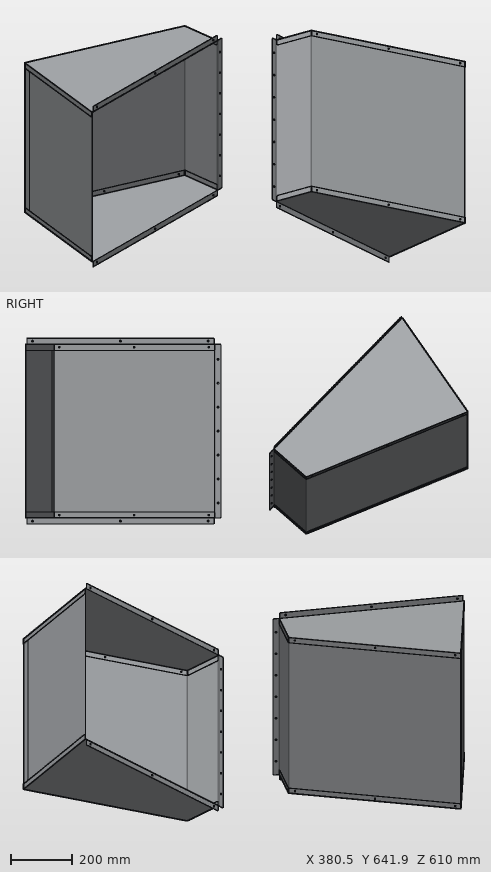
import cadquery as cq
import math

sheet = 1.2
bend_inside = 0.5
bend_outside = bend_inside + sheet
lip = 20.0
corner_cut = 3.0

height = 570.0
back_depth = 145.5
front_depth = 381.28
front_corner_y = -528.5
end_y = -622.81

tray_top = height / 2
inner_top = tray_top - sheet
flap_end = tray_top - lip
wall_top = inner_top - bend_inside
flap_setback = 3.5
panel_setback = sheet
corner_relief = 2.0

slope_angle = math.atan2(front_depth - back_depth, -front_corner_y)
front_angle = math.atan2(front_corner_y - end_y, front_depth)
slope_lean = math.tan(slope_angle)
front_lean = math.tan(front_angle)

front_flap_width = 29.5

tray_flange_start = -2.5
tray_flange_end = -617.0

flange_hole_diameter = 5.0
rivet_hole_diameter = 4.0
tray_flange_hole_ys = (-22.5, -310.5, -598.5)
slope_hole_ys = (-20.0, -265.0, -510.0)
side_flange_hole_count = 7
side_flange_hole_pitch = 78.5


def slope_point(y, depth):
    """Point of the sloping wall at a given Y, at a depth below the tray outline."""
    return (-back_depth + y * slope_lean + depth / math.cos(slope_angle), y)


def front_point(x, depth):
    """Point of the front wall at a given X, at a depth below the tray outline."""
    return (x, end_y - x * front_lean + depth / math.cos(front_angle))


def corner_point(slope_depth, front_depth_in):
    """Point where the sloping and front walls meet, each at its own depth."""
    y_at_mount = front_point(0, front_depth_in)[1]
    x = slope_point(y_at_mount, slope_depth)[0] / (1 + front_lean * slope_lean)
    return front_point(x, front_depth_in)


def outline(depth):
    """Housing outline with its three walls moved inwards by a depth."""
    return [
        (0, -depth),
        slope_point(-depth, depth),
        corner_point(depth, depth),
        front_point(0, depth),
    ]


def along_front(point, distance):
    """Point moved along the front wall, towards the mounting plane."""
    return (
        point[0] + distance * math.cos(front_angle),
        point[1] - distance * math.sin(front_angle),
    )


def prism(points, low, high):
    return cq.Workplane("XY").workplane(offset=low).polyline(points).close().extrude(high - low)


def fillet_upright_edge(body, point, radius):
    """Round the edge parallel to Z that passes through a plan point."""
    edge = body.edges("|Z").edges(cq.selectors.NearestToPointSelector((*point, 0)))
    return edge.fillet(radius)


def round_bend(body, inner_point, outer_point):
    body = fillet_upright_edge(body, inner_point, bend_inside)
    return fillet_upright_edge(body, outer_point, bend_outside)


def flange_holes(points):
    """Hole cutters through a mounting flange, at (Y, Z) points."""
    return cq.Workplane("YZ").pushPoints(points).circle(flange_hole_diameter / 2).extrude(-sheet)


def cut_slope_holes(body):
    """Rivet holes square to the sloping wall, in a row along each tray flap."""
    inwards = cq.Vector(math.cos(slope_angle), -math.sin(slope_angle), 0)
    hole_depth = 3 * sheet
    for y in slope_hole_ys:
        for z in (tray_top - lip / 2, lip / 2 - tray_top):
            start = cq.Vector(*slope_point(y, 0), z) - inwards * sheet
            hole = cq.Solid.makeCylinder(rivet_hole_diameter / 2, hole_depth + sheet, start, inwards)
            body = body.cut(cq.Workplane(hole))
    return body


def make_tray_shell():
    """Plate with three flaps folded down from its sloping, front and back edges."""
    outside = prism(outline(0), flap_end, tray_top)
    outside = outside.faces(">Z").edges("not(>X)").fillet(bend_outside)
    inside = prism(outline(sheet), flap_end, inner_top)
    inside = inside.faces(">Z").edges("not(>X)").fillet(bend_inside)
    shell = outside.cut(inside)

    flap_corners = outline(0)[1:3]
    reliefs = cq.Workplane("XY").workplane(offset=flap_end).pushPoints(flap_corners)
    return shell.cut(reliefs.circle(corner_relief).extrude(lip))


def flap_end_gap():
    """Space beside the mounting plane, up to the chamfered ends of the tray flaps."""
    gap = (
        cq.Workplane("XZ")
        .polyline([
            (0, tray_top),
            (-flap_setback, tray_top),
            (-flap_setback, flap_end + corner_cut),
            (-flap_setback - corner_cut, flap_end),
            (0, flap_end),
        ])
        .close().extrude(-2 * end_y, both=True)
    )
    return gap.cut(prism(outline(bend_outside), flap_end, tray_top))


def make_tray():
    tray = make_tray_shell().cut(flap_end_gap())

    flange_length = tray_flange_start - tray_flange_end
    flange_height = tray_top + lip - inner_top
    flange = (
        cq.Workplane("XY").box(sheet, flange_length, flange_height, centered=False)
        .translate((-sheet, tray_flange_end, inner_top))
        .edges("|X and >Z").edges(">Y").chamfer(corner_cut)
    )
    hole_z = tray_top + lip / 2
    holes = flange_holes([(y, hole_z) for y in tray_flange_hole_ys])
    return cut_slope_holes(tray.union(flange).cut(holes))


def make_wrap_walls():
    """Foot of the side flange, back wall, sloping wall and front flap, folded from one strip."""
    flange_bend = [(-sheet, -sheet), (0, -2 * sheet)]
    back_bend = [slope_point(-2 * sheet, 2 * sheet), slope_point(-sheet, sheet)]
    front_bend = [corner_point(2 * sheet, sheet), corner_point(sheet, 0)]
    flap_tip = along_front(front_bend[1], front_flap_width)
    strip = [
        (0, 0),
        (-sheet, 0),
        flange_bend[0],
        back_bend[1],
        front_bend[1],
        flap_tip,
        front_point(flap_tip[0], sheet),
        front_bend[0],
        back_bend[0],
        flange_bend[1],
    ]
    walls = prism(strip, -wall_top, wall_top)
    for inner_point, outer_point in (flange_bend, back_bend, front_bend):
        walls = round_bend(walls, inner_point, outer_point)
    return walls


def make_side_flange():
    flange = (
        cq.Workplane("XY").box(sheet, lip, height, centered=(False, False, True))
        .translate((-sheet, 0, 0))
        .edges("|X and >Y").chamfer(corner_cut)
    )
    middle = (side_flange_hole_count - 1) / 2
    hole_zs = [(i - middle) * side_flange_hole_pitch for i in range(side_flange_hole_count)]
    return flange.cut(flange_holes([(lip / 2, z) for z in hole_zs]))


def front_flap_trim():
    """Space above the front flap, kept free for the front flap of the tray."""
    outer_x = -front_depth
    bend_depth = sheet + bend_inside
    tip_x = along_front(corner_point(sheet, 0), front_flap_width)[0]
    in_front = prism(
        [
            (outer_x, 2 * end_y),
            front_point(outer_x, bend_depth),
            front_point(0, bend_depth),
            (0, 2 * end_y),
        ],
        flap_end - corner_cut, tray_top,
    )
    above_flap = (
        cq.Workplane("XZ")
        .polyline([
            (outer_x, tray_top),
            (outer_x, flap_end),
            (tip_x - corner_cut, flap_end),
            (tip_x, flap_end - corner_cut),
            (0, flap_end - corner_cut),
            (0, tray_top),
        ])
        .close().extrude(-2 * end_y)
    )
    return in_front.intersect(above_flap)


def make_wrap():
    trim = front_flap_trim()
    wrap = make_wrap_walls().cut(trim).cut(trim.mirror("XY"))
    return cut_slope_holes(wrap.union(make_side_flange()))


def make_front_panel():
    """Flat panel under the flaps, from the bend of the wrap to just short of the mounting plane."""
    corner_x = corner_point(2 * sheet, sheet)[0] + bend_outside
    panel = [
        front_point(corner_x, sheet),
        front_point(-panel_setback, sheet),
        front_point(-panel_setback, 2 * sheet),
        front_point(corner_x, 2 * sheet),
    ]
    return prism(panel, -wall_top, wall_top)


top_tray = make_tray()
bottom_tray = top_tray.mirror("XY")
wrap = make_wrap()
front_panel = make_front_panel()

result = cq.Compound.makeCompound([
    top_tray.val(),
    bottom_tray.val(),
    wrap.val(),
    front_panel.val(),
])